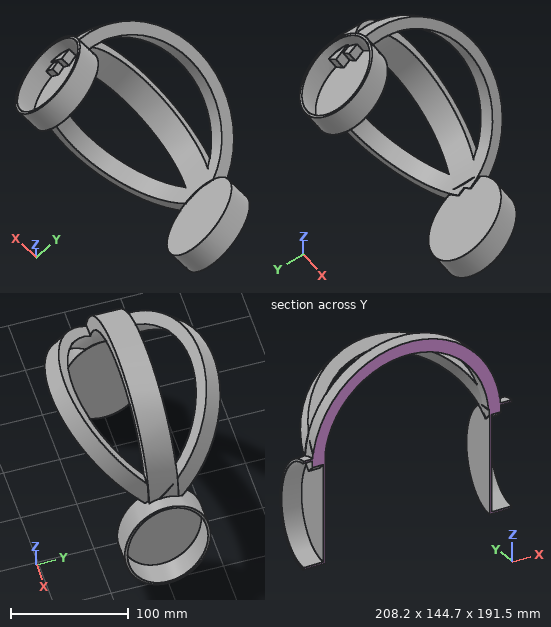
import cadquery as cq
import math

overall_length = 208.2

cup_depth = 22.3
cup_width = 76.6
cup_height = 105.8
cup_wall = 2.5
cup_floor = 2.5
cup_center_z = cup_height / 2

band_center_x = -1.0
pivot_z = 97.2

outer_radius = 94.3

upright_inner_radius = 81.6
upright_width = 26.2
upright_foot = 5.2

tilt_angle = 45.0
tilted_width = 17.7
tilted_inner_radius = 82.3
front_outer_radius = 92.7


def oval_block(x_start, length, width, height):
    """Elliptical block running along +X from x_start, at the height of the cups."""
    return (
        cq.Workplane("YZ", origin=(x_start, 0, cup_center_z))
        .ellipse(width / 2, height / 2)
        .extrude(length)
    )


def left_cup():
    """Oval cup at the -X end, with its opening facing -X."""
    x_open = -overall_length / 2
    body = oval_block(x_open, cup_depth, cup_width, cup_height)
    hollow = oval_block(
        x_open,
        cup_depth - cup_floor,
        cup_width - 2 * cup_wall,
        cup_height - 2 * cup_wall,
    )
    return body.cut(hollow)


def band(ring_outer, ring_inner, width, tilt, foot=0):
    """Half ring over the pivot axis, its ends cut off level at the foot height.

    A positive tilt leans it towards -Y.
    """
    foot_outer = math.sqrt(ring_outer**2 - foot**2)
    foot_inner = math.sqrt(ring_inner**2 - foot**2)
    half_ring = (
        cq.Workplane("XZ")
        .moveTo(-foot_outer, foot)
        .threePointArc((0, ring_outer), (foot_outer, foot))
        .lineTo(foot_inner, foot)
        .threePointArc((0, ring_inner), (-foot_inner, foot))
        .close()
        .extrude(width / 2, both=True)
    )
    return half_ring.rotate((0, 0, 0), (1, 0, 0), tilt).translate((band_center_x, 0, pivot_z))


cup = left_cup()
upright_band = band(outer_radius, upright_inner_radius, upright_width, 0, upright_foot)
back_band = band(outer_radius, tilted_inner_radius, tilted_width, -tilt_angle)
front_band = band(front_outer_radius, tilted_inner_radius, tilted_width, tilt_angle)

result = upright_band.union(back_band).union(front_band)
result = result.union(cup).union(cup.mirror("YZ"))